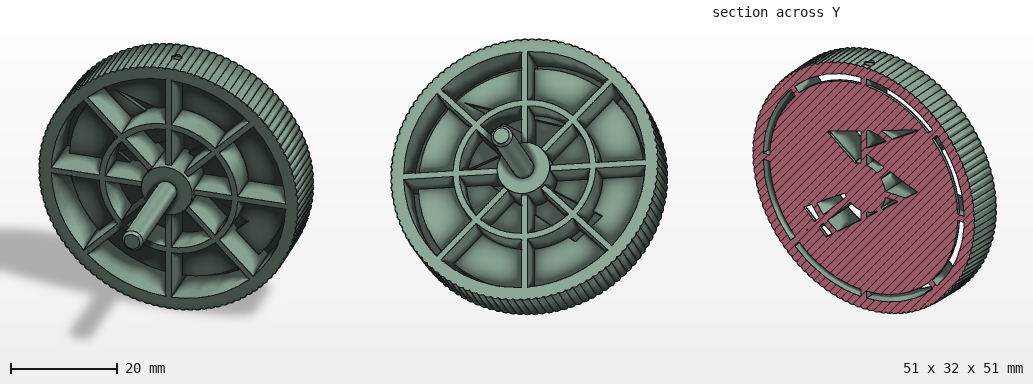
import cadquery as cq
import math


wheel_width = 10.0
tip_radius = 25.5
flute_depth = 0.25
flute_count = 110
draft_angle = 1.0

cavity_diameter = 46.0
cavity_depth = 6.3
groove_inner_radius = 21.5
groove_depth = 9.0

recess_depth = 1.0
recess_corners = [
    (-12.7, 15.7),
    (8.25, 9.4),
    (-2.25, 1.5),
    (13.6, -8.0),
    (8.5, -12.7),
    (-12.2, 2.55),
    (0.65, 7.7),
]

rib_thickness = 1.1
rib_count = 8
rib_overlap = 1.0
ring_outer_radius = 13.6
ring_inner_radius = 12.45

hub_diameter = 10.0
hub_height = 1.0
shaft_diameter = 4.0
total_length = 32.0
shaft_chamfer = 0.5

hole_diameter = 2.0
hole_floor_radius = 24.95

draft_slope = math.tan(math.radians(draft_angle))
cavity_floor = wheel_width - cavity_depth
groove_floor = wheel_width - groove_depth


def on_axis(height):
    """Plane square to the axis at the given distance in front of the back face."""
    return cq.Workplane("XZ", origin=(0, -height, 0))


def polar(radius, angle):
    return (radius * math.cos(angle), radius * math.sin(angle))


def flute_outline(sketch, crest_radius):
    """Closed ring of convex arcs, with one crest on the +Z direction."""
    pitch = 2 * math.pi / flute_count
    valley_radius = crest_radius - flute_depth
    first_valley = math.pi / 2 - pitch / 2
    sketch = sketch.moveTo(*polar(valley_radius, first_valley))
    for i in range(flute_count):
        valley = first_valley + i * pitch
        crest = polar(crest_radius, valley + pitch / 2)
        next_valley = polar(valley_radius, valley + pitch)
        sketch = sketch.threePointArc(crest, next_valley)
    return sketch.close()


def drafted_disc(front_radius, floor, growth):
    """Disc from floor to the front face; growth +1 widens it towards the floor, -1 narrows it."""
    depth = wheel_width - floor
    floor_radius = front_radius + growth * depth * draft_slope
    return on_axis(floor).circle(floor_radius).extrude(depth, taper=growth * draft_angle)


def make_body():
    back_radius = tip_radius - wheel_width * draft_slope
    outline = flute_outline(on_axis(0), back_radius)
    outline = flute_outline(outline.workplane(offset=wheel_width), tip_radius)
    body = outline.loft(ruled=True)

    cavity = drafted_disc(cavity_diameter / 2, groove_floor, -1)
    raised_floor = on_axis(groove_floor).circle(groove_inner_radius).extrude(groove_depth - cavity_depth)
    recess = on_axis(cavity_floor - recess_depth).polyline(recess_corners).close().extrude(recess_depth)
    return body.cut(cavity.cut(raised_floor.cut(recess)))


def make_ribs():
    floor_thickness = rib_thickness + 2 * groove_depth * draft_slope
    length = cavity_diameter + 2 * rib_overlap
    ribs = cq.Workplane("XZ")
    for i in range(rib_count // 2):
        rib = on_axis(groove_floor).rect(length, floor_thickness).extrude(groove_depth, taper=draft_angle)
        ribs = ribs.add(rib.rotate((0, 0, 0), (0, 1, 0), i * 360 / rib_count))
    return ribs.combine()


def make_ring():
    outer = drafted_disc(ring_outer_radius, groove_floor, 1)
    inner = drafted_disc(ring_inner_radius, groove_floor, -1)
    return outer.cut(inner)


def make_hub_and_shaft():
    hub = on_axis(groove_floor).circle(hub_diameter / 2).extrude(groove_depth + hub_height)
    shaft = on_axis(groove_floor).circle(shaft_diameter / 2).extrude(total_length - groove_floor)
    return hub.union(shaft.faces("<Y").chamfer(shaft_chamfer))


def make_index_hole():
    hole = cq.Workplane("XY", origin=(0, -wheel_width / 2, hole_floor_radius))
    return hole.circle(hole_diameter / 2).extrude(tip_radius - hole_floor_radius)


wheel = make_body().union(make_ribs()).union(make_ring())
result = wheel.union(make_hub_and_shaft()).cut(make_index_hole())